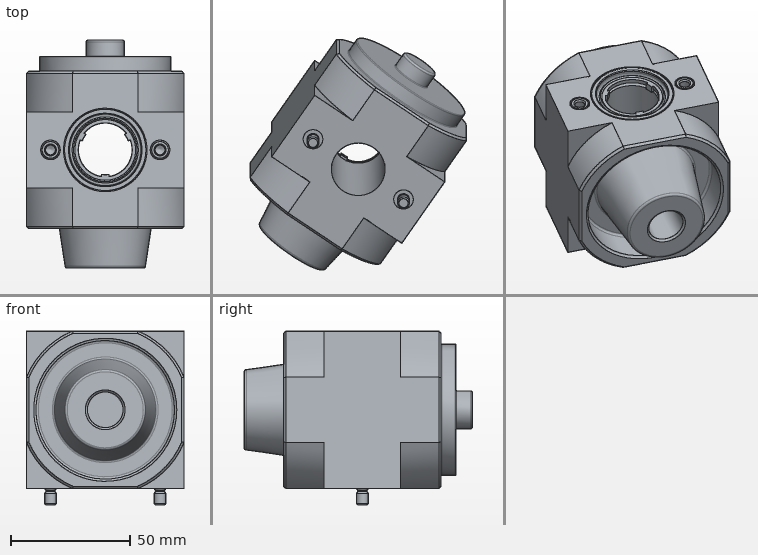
import cadquery as cq

block_size = 66.0
half_block = block_size / 2
core_depth = 31.9
collar_diameter = 71.4
collar_chamfer = 1.0

recess_diameter = 58.0
recess_depth = 14.3
recess_floor_y = recess_depth - half_block
recess_edge = 1.0
nose_tip_diameter = 33.7
nose_base_diameter = 42.5
nose_tip_y = -49.5
nose_edge = 1.0
nose_base_fillet = 0.9
nose_bore_diameter = 14.9
nose_bore_depth = 19.1
nose_bore_chamfer = 0.9

flange_diameter = 55.0
flange_end_y = 39.2
flange_fillet = 0.4
flange_base_fillet = 0.3
spigot_diameter = 16.0
spigot_end_y = 46.1
spigot_fillet = 0.9
spigot_base_fillet = 0.3

bore_diameter = 22.5
ring_groove_outer_radius = 17.5
ring_groove_inner_radius = 17.0
ring_groove_depth = 0.5
seat_diameter = 30.0
seat_depth = 1.8
seat_chamfer = 0.4
seat_floor_fillet = 0.3
ridge_crest_radius = 13.3
ridge_height = 0.6
lip_bottom_depth = 3.5
undercut_radius = 13.9
undercut_bottom_depth = 5.1
lug_count = 3
lug_first_angle = 30
lug_width = 3.25
lug_inner_radius = 10.3
lug_bottom_depth = 4.8

stud_offset = 22.9
stud_positions = (-stud_offset, stud_offset)
stud_diameter = 8.2
stud_head_diameter = 7.0
stud_head_taper_length = 1.9
thread_diameter = 5.0
thread_length = 6.9
thread_chamfer = 0.6
relief_diameter = 3.7
relief_taper_length = 0.9
relief_neck_length = 0.3
socket_diameter = 4.1
socket_chamfer_depth = 0.8
socket_depth = 10.0
socket_tip_length = 1.1


def y_cylinder(diameter, start_y, end_y):
    """Cylinder on the Y axis between two Y positions."""
    sketch = cq.Workplane("XZ", origin=(0, start_y, 0)).circle(diameter / 2)
    return sketch.extrude(start_y - end_y)


def revolve_profile(profile):
    """Close a profile and turn it about its plane's upright axis (Y on XY, Z on XZ)."""
    return profile.close().revolve(360, (0, 0), (0, 1))


def make_block():
    """Square core with two corner-rounded, chamfered end collars."""
    core = cq.Workplane("XY").box(block_size, core_depth, block_size)
    cube = cq.Workplane("XY").box(block_size, block_size, block_size)
    collars = cube.intersect(y_cylinder(collar_diameter, -half_block, half_block))
    collars = collars.faces("<Y or >Y").chamfer(collar_chamfer)
    return core.union(collars)


def make_recess_cutter():
    """Front recess with a rounded mouth and a filleted floor."""
    radius = recess_diameter / 2
    profile = (
        cq.Workplane("XY")
        .moveTo(0, -half_block)
        .lineTo(radius + recess_edge, -half_block)
        .radiusArc((radius, recess_edge - half_block), -recess_edge)
        .lineTo(radius, recess_floor_y - recess_edge)
        .radiusArc((radius - recess_edge, recess_floor_y), -recess_edge)
        .lineTo(0, recess_floor_y)
    )
    return revolve_profile(profile)


def make_nose():
    """Tapered nose standing on the recess floor."""
    tip_radius = nose_tip_diameter / 2
    base_radius = nose_base_diameter / 2
    profile = (
        cq.Workplane("XY")
        .moveTo(0, recess_floor_y)
        .lineTo(base_radius + nose_base_fillet, recess_floor_y)
        .radiusArc((base_radius, recess_floor_y - nose_base_fillet), -nose_base_fillet)
        .lineTo(tip_radius, nose_tip_y + nose_edge)
        .radiusArc((tip_radius - nose_edge, nose_tip_y), nose_edge)
        .lineTo(0, nose_tip_y)
    )
    return revolve_profile(profile)


def make_nose_bore_cutter():
    """Blind bore in the nose with a chamfered mouth."""
    radius = nose_bore_diameter / 2
    profile = (
        cq.Workplane("XY")
        .moveTo(0, nose_tip_y)
        .lineTo(radius + nose_bore_chamfer, nose_tip_y)
        .lineTo(radius, nose_tip_y + nose_bore_chamfer)
        .lineTo(radius, nose_tip_y + nose_bore_depth)
        .lineTo(0, nose_tip_y + nose_bore_depth)
    )
    return revolve_profile(profile)


def make_rear_spigot():
    """Round flange on the rear face carrying a short spigot."""
    spigot_radius = spigot_diameter / 2
    flange_radius = flange_diameter / 2
    profile = (
        cq.Workplane("XY")
        .moveTo(0, spigot_end_y)
        .lineTo(spigot_radius - spigot_fillet, spigot_end_y)
        .radiusArc((spigot_radius, spigot_end_y - spigot_fillet), spigot_fillet)
        .lineTo(spigot_radius, flange_end_y + spigot_base_fillet)
        .radiusArc((spigot_radius + spigot_base_fillet, flange_end_y), -spigot_base_fillet)
        .lineTo(flange_radius - flange_fillet, flange_end_y)
        .radiusArc((flange_radius, flange_end_y - flange_fillet), flange_fillet)
        .lineTo(flange_radius, half_block + flange_base_fillet)
        .radiusArc((flange_radius + flange_base_fillet, half_block), -flange_base_fillet)
        .lineTo(0, half_block)
    )
    return revolve_profile(profile)


def make_ring_groove_cutter():
    """Groove around the seat: upright inner wall, sloping outer wall."""
    profile = (
        cq.Workplane("XZ")
        .moveTo(ring_groove_inner_radius, half_block)
        .lineTo(ring_groove_outer_radius, half_block)
        .lineTo(ring_groove_inner_radius, half_block - ring_groove_depth)
    )
    return revolve_profile(profile)


def make_bore_cutter():
    """Through bore with the seat and the undercut below the seat's lip."""
    bore_radius = bore_diameter / 2
    seat_radius = seat_diameter / 2
    seat_z = half_block - seat_depth
    lip_z = half_block - lip_bottom_depth
    undercut_z = half_block - undercut_bottom_depth
    profile = (
        cq.Workplane("XZ")
        .moveTo(0, half_block)
        .lineTo(seat_radius + seat_chamfer, half_block)
        .lineTo(seat_radius, half_block - seat_chamfer)
        .lineTo(seat_radius, seat_z + seat_floor_fillet)
        .radiusArc((seat_radius - seat_floor_fillet, seat_z), seat_floor_fillet)
        .lineTo(ridge_crest_radius + ridge_height, seat_z)
        .lineTo(ridge_crest_radius, seat_z + ridge_height)
        .lineTo(ridge_crest_radius - ridge_height, seat_z)
        .lineTo(bore_radius, seat_z)
        .lineTo(bore_radius, lip_z)
        .lineTo(undercut_radius, lip_z)
        .lineTo(undercut_radius, undercut_z)
        .lineTo(bore_radius, undercut_z)
        .lineTo(bore_radius, -half_block)
        .lineTo(0, -half_block)
    )
    return revolve_profile(profile)


def make_lugs():
    """Bayonet lugs reaching from the undercut wall into the bore."""
    ring = (
        cq.Workplane("XY", origin=(0, 0, half_block - lug_bottom_depth))
        .circle(undercut_radius)
        .circle(lug_inner_radius)
        .extrude(lug_bottom_depth - seat_depth)
    )
    bar = cq.Workplane("XY").box(undercut_radius, lug_width, block_size, centered=(False, True, True))
    lugs = []
    for index in range(lug_count):
        angle = lug_first_angle + index * 360 / lug_count
        lugs.append(ring.intersect(bar.rotate((0, 0, 0), (0, 0, 1), angle)))
    return lugs


def stud_hole_cutter(x):
    """Through hole that a stud fills."""
    return (
        cq.Workplane("XY", origin=(x, 0, -half_block))
        .circle(stud_diameter / 2)
        .extrude(block_size)
    )


def make_housing():
    """Block with nose, spigot, bayonet bore and the two stud holes."""
    housing = make_block().cut(make_recess_cutter())
    housing = housing.union(make_nose()).cut(make_nose_bore_cutter())
    housing = housing.union(make_rear_spigot())
    housing = housing.cut(make_ring_groove_cutter()).cut(make_bore_cutter())
    for lug in make_lugs():
        housing = housing.union(lug)
    for x in stud_positions:
        housing = housing.cut(stud_hole_cutter(x))
    return housing


def make_stud(x):
    """Stud: tapered head with a threaded socket above, relieved male thread below."""
    thread_radius = thread_diameter / 2
    relief_radius = relief_diameter / 2
    socket_radius = socket_diameter / 2
    body_radius = stud_diameter / 2
    neck_top_z = -half_block - relief_taper_length
    neck_bottom_z = neck_top_z - relief_neck_length
    thread_end_z = -half_block - thread_length
    profile = (
        cq.Workplane("XZ")
        .moveTo(0, thread_end_z)
        .lineTo(thread_radius - thread_chamfer, thread_end_z)
        .lineTo(thread_radius, thread_end_z + thread_chamfer)
        .lineTo(thread_radius, neck_bottom_z - relief_taper_length)
        .lineTo(relief_radius, neck_bottom_z)
        .lineTo(relief_radius, neck_top_z)
        .lineTo(thread_radius, -half_block)
        .lineTo(body_radius, -half_block)
        .lineTo(body_radius, half_block - stud_head_taper_length)
        .lineTo(stud_head_diameter / 2, half_block)
        .lineTo(thread_radius, half_block)
        .lineTo(socket_radius, half_block - socket_chamfer_depth)
        .lineTo(socket_radius, half_block - socket_depth)
        .lineTo(0, half_block - socket_depth - socket_tip_length)
    )
    return revolve_profile(profile).translate((x, 0, 0))


housing = make_housing()
studs = [make_stud(x) for x in stud_positions]

result = cq.Compound.makeCompound([housing.val(), *[stud.val() for stud in studs]])